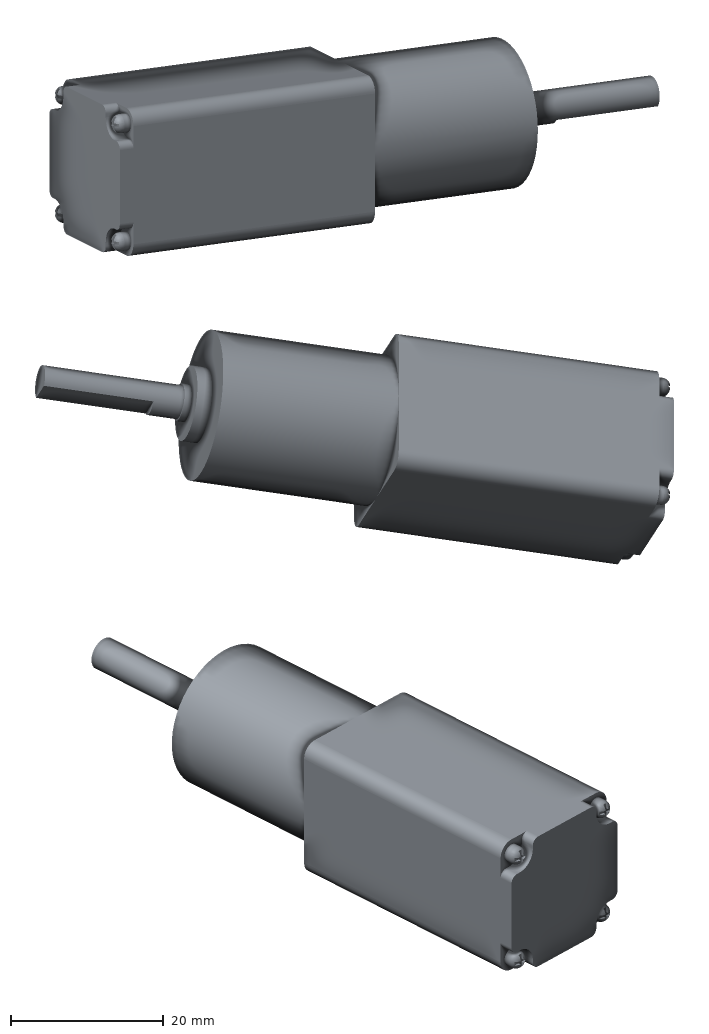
import cadquery as cq
import math


total_length = 83.7
body_width = 20.0
motor_length = 37.7
gearbox_length = 24.0

pilot_diameter = body_width / 2
pilot_length = 2.0
collar_diameter = body_width / 4
collar_length = 1.0
shaft_diameter = 4.5
flat_thickness = 3.7
flat_length = 15.0

corner_radius = body_width / 10
pocket_size = 2 * corner_radius
pocket_wall_radius = 2.5
pocket_depth = corner_radius
pocket_mouth_radius = pocket_size / 4

screw_diameter = 2.5
screw_rim_height = 0.9
screw_head_height = pocket_depth
cross_slot_width = 0.5
cross_slot_depth = 0.4

half_width = body_width / 2
rear_y = -motor_length
pocket_floor_y = rear_y + pocket_depth
front_y = total_length - motor_length
screw_offset = half_width - corner_radius


def cylinder(diameter, start_y, end_y):
    """Solid cylinder on the Y axis."""
    return cq.Workplane("XZ", origin=(0, end_y, 0)).circle(diameter / 2).extrude(end_y - start_y)


def make_motor():
    """Square motor body with rounded long edges."""
    block = cq.Workplane("XY").box(body_width, motor_length, body_width)
    return block.edges("|Y").fillet(corner_radius).translate((0, -motor_length / 2, 0))


def make_shaft(start_y):
    """Output shaft with a flat on its lower side at the free end."""
    shaft = cylinder(shaft_diameter, start_y, front_y)
    flat_z = shaft_diameter / 2 - flat_thickness
    flat_cut = cq.Workplane("XY").box(
        shaft_diameter, flat_length, shaft_diameter, centered=(True, False, False)
    )
    return shaft.cut(flat_cut.translate((0, front_y - flat_length, flat_z - shaft_diameter)))


def make_pocket():
    """Cutter for the screw pocket in the +X +Z corner."""
    wall = half_width - pocket_size
    mouth_start = half_width - pocket_mouth_radius
    mouth_end = wall - pocket_mouth_radius
    mouth_mid = pocket_mouth_radius * math.sqrt(0.5)
    bend = wall + pocket_wall_radius
    bend_mid = bend - pocket_wall_radius * math.sqrt(0.5)

    return (
        cq.Workplane("XZ", origin=(0, pocket_floor_y, 0))
        .moveTo(half_width, half_width)
        .lineTo(mouth_end, half_width)
        .threePointArc((mouth_end + mouth_mid, mouth_start + mouth_mid), (wall, mouth_start))
        .lineTo(wall, bend)
        .threePointArc((bend_mid, bend_mid), (bend, wall))
        .lineTo(mouth_start, wall)
        .threePointArc((mouth_start + mouth_mid, mouth_end + mouth_mid), (half_width, mouth_end))
        .close()
        .extrude(pocket_depth)
    )


def make_screw():
    """Domed screw head with a cross recess in the +X +Z pocket."""
    head = cq.Workplane("XY").circle(screw_diameter / 2).extrude(screw_head_height)
    head = head.faces(">Z").edges().fillet(screw_head_height - screw_rim_height)
    slot_floor = cq.Workplane("XY").workplane(offset=screw_head_height - cross_slot_depth)
    for slot_size in ((screw_diameter, cross_slot_width), (cross_slot_width, screw_diameter)):
        head = head.cut(slot_floor.rect(*slot_size).extrude(cross_slot_depth))

    head = head.rotate((0, 0, 0), (1, 0, 0), 90)
    return head.translate((screw_offset, pocket_floor_y, screw_offset))


pilot_end = gearbox_length + pilot_length
collar_end = pilot_end + collar_length
result = (
    make_motor()
    .union(cylinder(body_width, 0, gearbox_length))
    .union(cylinder(pilot_diameter, gearbox_length, pilot_end))
    .union(cylinder(collar_diameter, pilot_end, collar_end))
    .union(make_shaft(collar_end))
)

pocket = make_pocket()
screw = make_screw()
for angle in (0, 90, 180, 270):
    result = result.cut(pocket.rotate((0, 0, 0), (0, 1, 0), angle))
    result = result.union(screw.rotate((0, 0, 0), (0, 1, 0), angle))